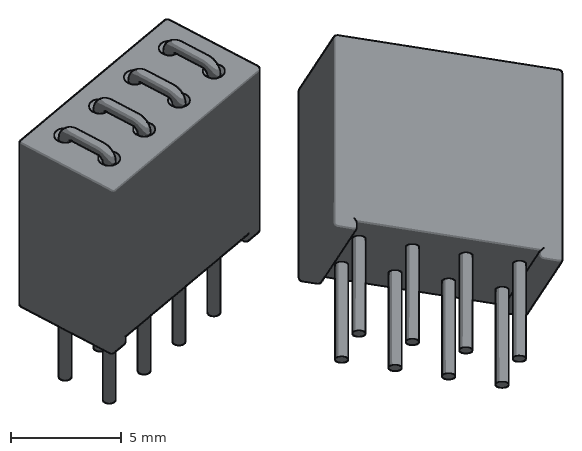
import cadquery as cq

TOTAL_HEIGHT = 15.11

WIDTH = 5.48
LENGTH = 10.88
HEIGHT = 10.0
EDGE_RADIUS = 0.21

FOOT_LENGTH = 1.12
NOTCH_HEIGHT = 0.41

WIRE_COUNT = 4
PITCH = 2.54
WIRE_DIAMETER = 0.6
BEND_RADIUS = 0.51
LEG_PROJECTION = 4.49

MOUTH_DIAMETER = 1.0
MOUTH_ANGLE = 90.0

BRIDGE_Z = TOTAL_HEIGHT - LEG_PROJECTION - WIRE_DIAMETER / 2
LEG_X = PITCH / 2
WIRE_YS = [(i - (WIRE_COUNT - 1) / 2) * PITCH for i in range(WIRE_COUNT)]


def make_wire(y):
    """One round wire: two legs joined by a straight bridge with rounded bends."""
    bend_z = BRIDGE_Z - BEND_RADIUS
    bridge_x = LEG_X - BEND_RADIUS
    path = (
        cq.Workplane("XZ", origin=(0, y, 0))
        .moveTo(-LEG_X, -LEG_PROJECTION)
        .lineTo(-LEG_X, bend_z)
        .radiusArc((-bridge_x, BRIDGE_Z), BEND_RADIUS)
        .lineTo(bridge_x, BRIDGE_Z)
        .radiusArc((LEG_X, bend_z), BEND_RADIUS)
        .lineTo(LEG_X, -LEG_PROJECTION)
    )
    section = cq.Workplane("XY", origin=(-LEG_X, y, -LEG_PROJECTION)).circle(WIRE_DIAMETER / 2)
    return section.sweep(path)


def make_block():
    """Block with a notched underside and all outward edges rounded."""
    block = cq.Workplane("XY").box(WIDTH, LENGTH, HEIGHT, centered=(True, True, False))
    notch_length = LENGTH - 2 * FOOT_LENGTH
    notch = cq.Workplane("XY").box(WIDTH, notch_length, NOTCH_HEIGHT, centered=(True, True, False))
    block = block.cut(notch)

    margin = NOTCH_HEIGHT / 4
    inward_corners = cq.selectors.BoxSelector(
        (-margin, -notch_length / 2 - margin, NOTCH_HEIGHT - margin),
        (margin, notch_length / 2 + margin, NOTCH_HEIGHT + margin),
    )
    return block.edges(cq.selectors.InverseSelector(inward_corners)).fillet(EDGE_RADIUS)


def make_housing():
    """Block with countersunk leg holes that fit the wires."""
    leg_points = [(x, y) for y in WIRE_YS for x in (-LEG_X, LEG_X)]
    return (
        make_block()
        .faces(">Z")
        .workplane(origin=(0, 0, HEIGHT))
        .pushPoints(leg_points)
        .cskHole(WIRE_DIAMETER, MOUTH_DIAMETER, MOUTH_ANGLE)
        .solids()
    )


wires = [make_wire(y) for y in WIRE_YS]
housing = make_housing()

result = cq.Compound.makeCompound([housing.val(), *[wire.val() for wire in wires]])